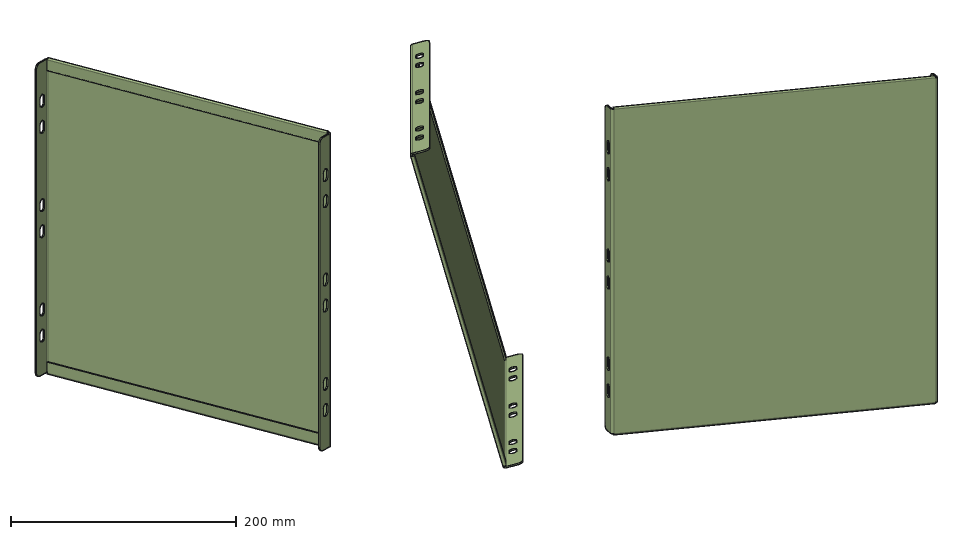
import cadquery as cq

sheet = 1.5
panel_width = 306.0
panel_height = 300.0
flange_depth = 18.0

bend_inner_radius = 1.0
flange_corner_radius = 5.0

hem_gap = 0.1
hem_reach = 12.0

slot_width = 7.0
slot_length = 12.0
slot_group_pitch = 100.0
slot_pair_spacing = 25.0
slot_groups = 3

back_y = flange_depth / 2
bend_outer_radius = bend_inner_radius + sheet
hem_width = panel_width - 2 * bend_outer_radius
hem_thickness = 2 * sheet + hem_gap
fold_outer_radius = hem_thickness / 2
fold_inner_radius = hem_gap / 2
hem_leg = hem_reach - fold_outer_radius


def make_channel():
    """Flat panel with a side flange bent forward at each end."""
    outer = (
        cq.Workplane("XY")
        .box(panel_width, flange_depth, panel_height)
        .edges("|Z and >Y")
        .fillet(bend_outer_radius)
    )
    inner = (
        cq.Workplane("XY")
        .box(panel_width - 2 * sheet, flange_depth, panel_height)
        .edges("|Z and >Y")
        .fillet(bend_inner_radius)
        .translate((0, -sheet, 0))
    )
    return outer.cut(inner).edges("|X and <Y").fillet(flange_corner_radius)


def make_top_hem():
    """Half-round fold of two quarter arcs, with a leg hanging in front of the panel."""
    fold_z = panel_height / 2
    outer_front_y = back_y - hem_thickness
    inner_back_y = back_y - sheet
    inner_front_y = inner_back_y - hem_gap
    middle_y = back_y - fold_outer_radius
    return (
        cq.Workplane("YZ")
        .moveTo(back_y, fold_z)
        .radiusArc((middle_y, fold_z + fold_outer_radius), -fold_outer_radius)
        .radiusArc((outer_front_y, fold_z), -fold_outer_radius)
        .lineTo(outer_front_y, fold_z - hem_leg)
        .lineTo(inner_front_y, fold_z - hem_leg)
        .lineTo(inner_front_y, fold_z)
        .threePointArc((middle_y, fold_z + fold_inner_radius), (inner_back_y, fold_z))
        .close()
        .extrude(hem_width / 2, both=True, clean=False)
    )


def make_slots():
    """Cutters for the pairs of upright slots, passing through both flanges."""
    middle_group = (slot_groups - 1) / 2
    slot_heights = [
        (group - middle_group) * slot_group_pitch + side * slot_pair_spacing / 2
        for group in range(slot_groups)
        for side in (-1, 1)
    ]
    return (
        cq.Workplane("YZ")
        .pushPoints([(0, height) for height in slot_heights])
        .slot2D(slot_length, slot_width, 90)
        .extrude(panel_width, both=True)
    )


top_hem = make_top_hem()
bottom_hem = top_hem.mirror("XY")
result = make_channel().cut(make_slots()).union(top_hem).union(bottom_hem)